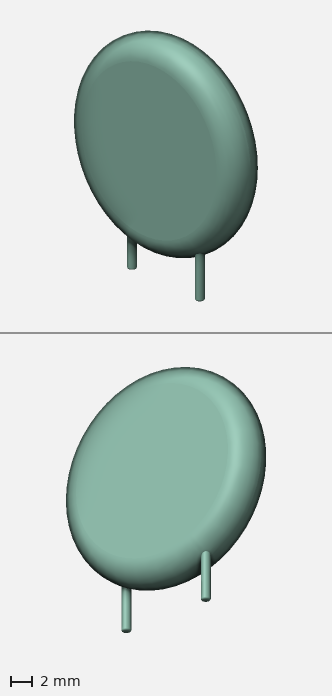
import cadquery as cq

body_diameter = 21.5
body_thickness = 4.5
rim_radius = 2.2

overall_height = 24.53
lead_diameter = 0.9
lead_spacing = 10.0
lead_stagger = 1.52
lead_tip_fillet = 0.17

body_radius = body_diameter / 2
lead_bottom = -(overall_height - body_radius)
lead_top = -body_radius / 2


def make_body():
    disc = cq.Workplane("XZ").circle(body_radius).extrude(body_thickness / 2, both=True)
    return disc.edges("%CIRCLE").fillet(rim_radius)


def make_lead(x, y):
    lead = cq.Workplane("XY").circle(lead_diameter / 2).extrude(lead_top - lead_bottom)
    lead = lead.faces("<Z").fillet(lead_tip_fillet)
    return lead.translate((x, y, lead_bottom))


result = make_body()
for side in (-1, 1):
    result = result.union(make_lead(side * lead_spacing / 2, -side * lead_stagger / 2))